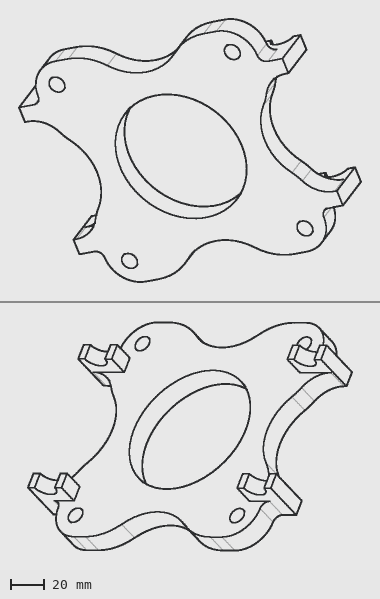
import cadquery as cq
import math

TILT_ANGLE = 22.5

PLATE_THICKNESS = 15.0
HALF_WIDTH = 75.0
BORE_RADIUS = 41.5
HOLE_RADIUS = 5.0
HOLE_OFFSET = 60.0

CORNER_RADIUS = 20.0
HOLLOW_RADIUS = 35.0
SHOULDER_RADIUS = 35.0
HOLLOW_FLOOR = 57.5
TAB_INNER_FILLET = 20.0
TAB_OUTER_FILLET = 5.0

TAB_TIP = 90.19
TAB_LENGTH = 25.0
TAB_THICKNESS = 10.0
TAB_OUTER_FACE = 50.0
TAB_HEIGHT = 29.5
NOTCH_RADIUS = 7.5

TAB_INNER_FACE = TAB_OUTER_FACE - TAB_THICKNESS
TAB_MIDDLE = TAB_TIP - TAB_LENGTH / 2


def toward(start, end, distance):
    """Point at the given distance from start, on the line through end."""
    span = math.dist(start, end)
    return (
        start[0] + (end[0] - start[0]) * distance / span,
        start[1] + (end[1] - start[1]) * distance / span,
    )


def add_arc(sketch, center, radius, start, end):
    """Append the short arc from start to end; the sketch already stands at start."""
    chord_middle = ((start[0] + end[0]) / 2, (start[1] + end[1]) / 2)
    return sketch.threePointArc(toward(center, chord_middle, radius), end)


def swap(point):
    """Reflect a point about the diagonal u = v."""
    return (point[1], point[0])


def make_quarter_plate():
    """Quarter of the plate with u and v positive, bounded by the symmetry planes."""
    hollow_center = (0, HOLLOW_FLOOR + HOLLOW_RADIUS)
    shoulder_v = HALF_WIDTH - SHOULDER_RADIUS
    center_distance = HOLLOW_RADIUS + SHOULDER_RADIUS
    shoulder_u = math.sqrt(center_distance**2 - (hollow_center[1] - shoulder_v) ** 2)
    shoulder_center = (shoulder_u, shoulder_v)
    hollow_bottom = (0, HOLLOW_FLOOR)
    hollow_end = toward(hollow_center, shoulder_center, HOLLOW_RADIUS)
    shoulder_end = (shoulder_u, HALF_WIDTH)

    corner_offset = HALF_WIDTH - CORNER_RADIUS
    corner_center = (corner_offset, corner_offset)
    corner_start = (corner_offset, HALF_WIDTH)
    corner_end = (HALF_WIDTH, corner_offset)
    outer_fillet_center = (HALF_WIDTH + TAB_OUTER_FILLET, TAB_OUTER_FACE + TAB_OUTER_FILLET)
    outer_fillet_end = (outer_fillet_center[0], TAB_OUTER_FACE)

    right_shoulder_center = swap(shoulder_center)
    inner_fillet_v = TAB_INNER_FACE - TAB_INNER_FILLET
    fillet_distance = TAB_INNER_FILLET + SHOULDER_RADIUS
    fillet_rise = right_shoulder_center[1] - inner_fillet_v
    inner_fillet_u = right_shoulder_center[0] + math.sqrt(fillet_distance**2 - fillet_rise**2)
    inner_fillet_center = (inner_fillet_u, inner_fillet_v)
    inner_fillet_start = (inner_fillet_u, TAB_INNER_FACE)
    inner_fillet_end = toward(inner_fillet_center, right_shoulder_center, TAB_INNER_FILLET)

    outline = cq.Workplane("XZ").lineTo(*hollow_bottom)
    outline = add_arc(outline, hollow_center, HOLLOW_RADIUS, hollow_bottom, hollow_end)
    outline = add_arc(outline, shoulder_center, SHOULDER_RADIUS, hollow_end, shoulder_end)
    outline = outline.lineTo(*corner_start)
    outline = add_arc(outline, corner_center, CORNER_RADIUS, corner_start, corner_end)
    outline = add_arc(outline, outer_fillet_center, TAB_OUTER_FILLET, corner_end, outer_fillet_end)
    outline = outline.lineTo(TAB_TIP, TAB_OUTER_FACE)
    outline = outline.lineTo(TAB_TIP, TAB_INNER_FACE)
    outline = outline.lineTo(*inner_fillet_start)
    outline = add_arc(outline, inner_fillet_center, TAB_INNER_FILLET, inner_fillet_start, inner_fillet_end)
    outline = add_arc(outline, right_shoulder_center, SHOULDER_RADIUS, inner_fillet_end, swap(hollow_end))
    outline = add_arc(outline, swap(hollow_center), HOLLOW_RADIUS, swap(hollow_end), swap(hollow_bottom))
    return outline.close().extrude(-PLATE_THICKNESS)


def make_tab():
    """Upright block rising past the plate, with a half-round notch in its end."""
    block = (
        cq.Workplane("XZ")
        .center(TAB_MIDDLE, (TAB_INNER_FACE + TAB_OUTER_FACE) / 2)
        .rect(TAB_LENGTH, TAB_THICKNESS)
        .extrude(-TAB_HEIGHT)
    )
    notch = (
        cq.Workplane("XY")
        .workplane(offset=TAB_INNER_FACE)
        .center(TAB_MIDDLE, TAB_HEIGHT)
        .circle(NOTCH_RADIUS)
        .extrude(TAB_THICKNESS)
    )
    return block.cut(notch)


def make_openings():
    """Central bore and the four mounting holes, all through the plate."""
    bore = cq.Workplane("XZ").circle(BORE_RADIUS).extrude(-PLATE_THICKNESS)
    holes = (
        cq.Workplane("XZ")
        .rect(2 * HOLE_OFFSET, 2 * HOLE_OFFSET, forConstruction=True)
        .vertices()
        .circle(HOLE_RADIUS)
        .extrude(-PLATE_THICKNESS)
    )
    return bore.add(holes).combine()


quarter = make_quarter_plate().union(make_tab())
half = quarter.union(quarter.mirror("XY"))
body = half.union(half.mirror("YZ")).clean()
body = body.cut(make_openings())
result = body.rotate((0, 0, 0), (0, 1, 0), -TILT_ANGLE)